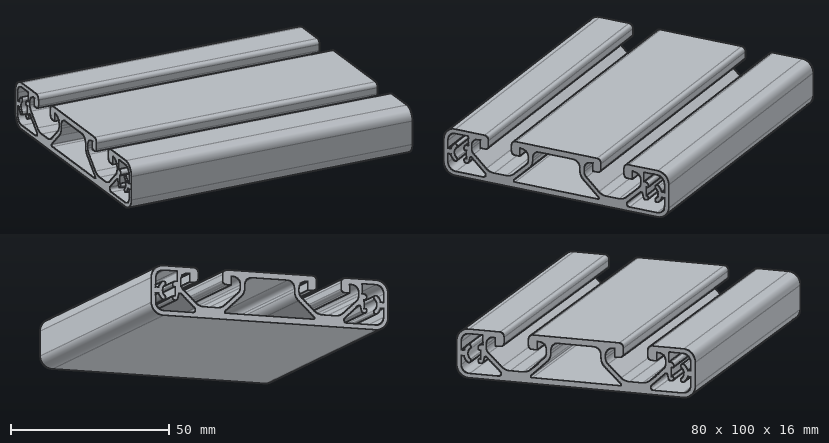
import cadquery as cq
import math


WIDTH = 80.0
HEIGHT = 16.0
LENGTH = 100.0
OUTER_RADIUS = 4.0

WALL = 1.5
ROOF = 2.0
FLOOR = 2.0
SLOT_FLOOR = 3.6
SLOT_SIDE_WALL = 1.1

SLOT_X = -20.0
MOUTH_HALF = 4.1
LIP_HALF = 7.05
LIP_BOTTOM = 11.25
LIP_TOP_RADIUS = 1.5
LIP_BOTTOM_RADIUS = 1.2
CHAMBER_HALF = 10.1
CHAMBER_TOP = 14.0
CHAMBER_TOP_RADIUS = 2.5
SLOT_FLOOR_HALF = 3.75
SLOPE_ANGLE = 43.0
SLOPE_TOP_RADIUS = 2.5
SLOPE_FOOT_RADIUS = 4.0

CENTRAL_TOP_RADIUS = 2.5
CENTRAL_FOOT_RADIUS = 0.4

END_CORNER_RADIUS = 2.75
END_FOOT_RADIUS = 0.9
CHANNEL_X = -34.0
CHANNEL_Z = HEIGHT / 2
CHANNEL_INNER_RADIUS = 2.2
CHANNEL_OUTER_RADIUS = 3.65
CLAW_HALF_ANGLE = 50.0
NECK_THICKNESS = 1.9
JAW_FACE_X = -31.95
JAW_TIP_X = -32.8
JAW_GAP_HALF = 1.45
UPPER_JAW_TOP = 11.25
LOWER_JAW_BOTTOM = 5.1
LOWER_JAW_BOTTOM_X = -31.2
NOTCH_X = -30.6
NOTCH_TOP = 7.45
UPPER_JAW_RADIUS = 1.1
LOWER_JAW_RADIUS = 0.85
JAW_INNER_RADIUS = 0.55
SMALL_RADIUS = 0.3

SLOPE = math.tan(math.radians(SLOPE_ANGLE))
SLOPE_WALL_WIDTH = WALL / math.sin(math.radians(SLOPE_ANGLE))


def slope_half(z):
    """Half width of the slot at height z on its sloping sides."""
    return SLOT_FLOOR_HALF + (z - SLOT_FLOOR) / SLOPE


def slope_height(half):
    """Height at which the sloping sides of the slot reach the given half width."""
    return SLOT_FLOOR + (half - SLOT_FLOOR_HALF) * SLOPE


def prism(section):
    """Extrude an XZ section over the full length, centred on Y = 0."""
    return section.extrude(LENGTH / 2, both=True)


def rounded_prism(corners):
    """Extrude a closed polygon of (x, z, radius) corners, each rounded by a tangent arc."""
    section = None
    for index, (x, z, radius) in enumerate(corners):
        corner = cq.Vector(x, z)
        before = cq.Vector(*corners[index - 1][:2])
        after = cq.Vector(*corners[(index + 1) % len(corners)][:2])
        to_before = (before - corner).normalized()
        to_after = (after - corner).normalized()
        half_angle = to_before.getAngle(to_after) / 2
        tangent_length = radius / math.tan(half_angle)
        to_middle = radius / math.sin(half_angle) - radius
        arc_start = corner + to_before * tangent_length
        arc_middle = corner + (to_before + to_after).normalized() * to_middle
        arc_end = corner + to_after * tangent_length
        if section is None:
            section = cq.Workplane("XZ").moveTo(arc_start.x, arc_start.y)
        else:
            section = section.lineTo(arc_start.x, arc_start.y)
        if radius > 0:
            section = section.threePointArc((arc_middle.x, arc_middle.y), (arc_end.x, arc_end.y))
    return prism(section.close())


def mirrored(half):
    """Return the shape together with its mirror image about X = 0."""
    return half.union(half.mirror("YZ"))


def body():
    """Solid bar with rounded long edges."""
    side = WIDTH / 2
    return rounded_prism([
        (-side, 0, OUTER_RADIUS),
        (side, 0, OUTER_RADIUS),
        (side, HEIGHT, OUTER_RADIUS),
        (-side, HEIGHT, OUTER_RADIUS),
    ])


def slot():
    """Left T-slot: chamber with sloping sides, and the mouth between the two lips."""
    right_side = [
        (SLOT_FLOOR_HALF, SLOT_FLOOR, SLOPE_FOOT_RADIUS),
        (CHAMBER_HALF, slope_height(CHAMBER_HALF), SLOPE_TOP_RADIUS),
        (CHAMBER_HALF, CHAMBER_TOP, CHAMBER_TOP_RADIUS),
        (LIP_HALF, CHAMBER_TOP, 0),
        (LIP_HALF, LIP_BOTTOM, 0),
        (MOUTH_HALF, LIP_BOTTOM, LIP_BOTTOM_RADIUS),
        (MOUTH_HALF, HEIGHT, 0),
    ]
    right = [(SLOT_X + half, z, radius) for half, z, radius in right_side]
    left = [(SLOT_X - half, z, radius) for half, z, radius in reversed(right_side)]
    return rounded_prism(right + left).union(mouth_flare(1)).union(mouth_flare(-1))


def mouth_flare(side):
    """Sliver removed to round the top edge of one lip; side is +1 or -1."""
    edge_x = SLOT_X + side * MOUTH_HALF
    outer_x = edge_x + side * LIP_TOP_RADIUS
    diagonal = LIP_TOP_RADIUS * (1 - math.sqrt(0.5))
    return prism(
        cq.Workplane("XZ")
        .moveTo(edge_x, HEIGHT)
        .lineTo(outer_x, HEIGHT)
        .threePointArc((edge_x + side * diagonal, HEIGHT - diagonal), (edge_x, HEIGHT - LIP_TOP_RADIUS))
        .close()
    )


def central_cavity():
    """Closed cavity between the two slots."""
    side_x = SLOT_X + CHAMBER_HALF + WALL
    slope_top = slope_height(CHAMBER_HALF + WALL - SLOPE_WALL_WIDTH)
    foot_x = SLOT_X + slope_half(FLOOR) + SLOPE_WALL_WIDTH
    top = HEIGHT - ROOF
    return rounded_prism([
        (foot_x, FLOOR, CENTRAL_FOOT_RADIUS),
        (-foot_x, FLOOR, CENTRAL_FOOT_RADIUS),
        (-side_x, slope_top, SLOPE_TOP_RADIUS + WALL),
        (-side_x, top, CENTRAL_TOP_RADIUS),
        (side_x, top, CENTRAL_TOP_RADIUS),
        (side_x, slope_top, SLOPE_TOP_RADIUS + WALL),
    ])


def end_cavity():
    """Left end cavity; its slot side carries the two inner jaws of the screw channel."""
    outer_x = -WIDTH / 2 + WALL
    top = HEIGHT - WALL
    slot_side_x = SLOT_X - CHAMBER_HALF - SLOT_SIDE_WALL
    notch_slope_x = SLOT_X - slope_half(NOTCH_TOP) - SLOPE_WALL_WIDTH
    foot_x = SLOT_X - slope_half(WALL) - SLOPE_WALL_WIDTH
    return rounded_prism([
        (outer_x, WALL, END_CORNER_RADIUS),
        (outer_x, top, END_CORNER_RADIUS),
        (slot_side_x, top, SMALL_RADIUS),
        (slot_side_x, UPPER_JAW_TOP, 0),
        (JAW_TIP_X, UPPER_JAW_TOP, UPPER_JAW_RADIUS),
        (JAW_TIP_X, CHANNEL_Z + JAW_GAP_HALF, JAW_INNER_RADIUS),
        (JAW_FACE_X, CHANNEL_Z + JAW_GAP_HALF, 0),
        (JAW_FACE_X, CHANNEL_Z - JAW_GAP_HALF, 0),
        (JAW_TIP_X, CHANNEL_Z - JAW_GAP_HALF, JAW_INNER_RADIUS),
        (JAW_TIP_X, LOWER_JAW_BOTTOM, LOWER_JAW_RADIUS),
        (LOWER_JAW_BOTTOM_X, LOWER_JAW_BOTTOM, LOWER_JAW_RADIUS),
        (NOTCH_X, NOTCH_TOP, SMALL_RADIUS),
        (notch_slope_x, NOTCH_TOP, SMALL_RADIUS),
        (foot_x, WALL, END_FOOT_RADIUS),
    ])


def claw():
    """C-shaped outer half of the left screw channel, on a neck from the side wall."""
    angle = math.radians(CLAW_HALF_ANGLE)
    middle_radius = (CHANNEL_INNER_RADIUS + CHANNEL_OUTER_RADIUS) / 2
    tip_radius = (CHANNEL_OUTER_RADIUS - CHANNEL_INNER_RADIUS) / 2

    def at(radius, side):
        return CHANNEL_X - radius * math.cos(angle), CHANNEL_Z + side * radius * math.sin(angle)

    arc = prism(
        cq.Workplane("XZ")
        .moveTo(*at(CHANNEL_INNER_RADIUS, 1))
        .threePointArc((CHANNEL_X - CHANNEL_INNER_RADIUS, CHANNEL_Z), at(CHANNEL_INNER_RADIUS, -1))
        .lineTo(*at(CHANNEL_OUTER_RADIUS, -1))
        .threePointArc((CHANNEL_X - CHANNEL_OUTER_RADIUS, CHANNEL_Z), at(CHANNEL_OUTER_RADIUS, 1))
        .close()
    )
    tip_centres = [at(middle_radius, 1), at(middle_radius, -1)]
    tips = prism(cq.Workplane("XZ").pushPoints(tip_centres).circle(tip_radius))
    neck_start = -WIDTH / 2 + WALL / 2
    neck_end = CHANNEL_X - middle_radius
    neck = prism(
        cq.Workplane("XZ")
        .center((neck_start + neck_end) / 2, CHANNEL_Z)
        .rect(neck_end - neck_start, NECK_THICKNESS)
    )
    return arc.union(tips).union(neck)


result = (
    body()
    .cut(mirrored(slot()))
    .cut(central_cavity())
    .cut(mirrored(end_cavity()))
    .union(mirrored(claw()))
)